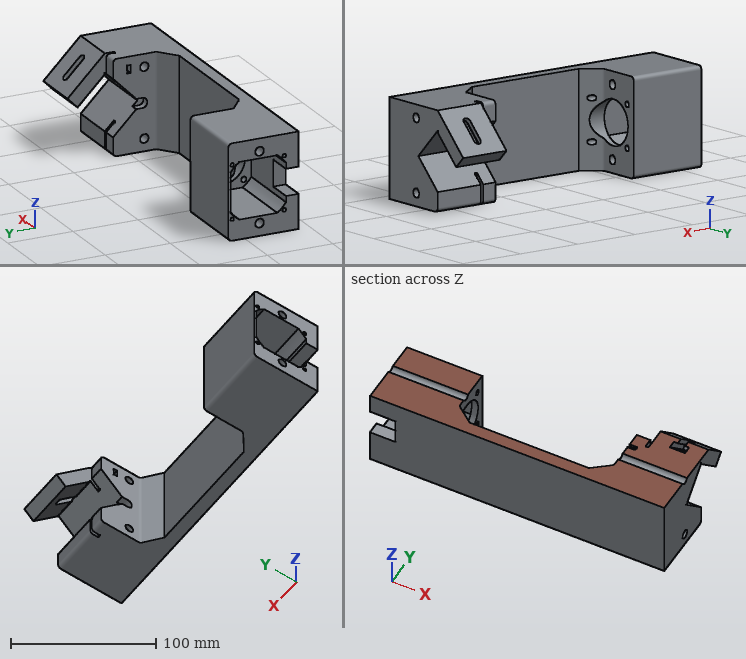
import cadquery as cq
import math

length = 230.0
depth = 54.0
height = 72.0
mid_z = height / 2
edge_radius = 3.0

recess_start = 59.0
recess_end = 179.5
beam_depth = 10.0
ramp_top = 20.8
ramp_run = 13.7
ramp_blend_radius = 3.0

motor_y = 31.0
motor_size = 42.5
motor_corner_diameter = 51.5
motor_plate = 5.0
motor_boss_diameter = 33.0
motor_screw_pitch = 31.0
motor_screw_diameter = 4.0
cover_screw_pitch = 40.0
cover_screw_diameter = 2.6
cover_screw_depth = 10.0
cable_slot_length = 20.0
cable_slot_height = 20.0

bolt_y = 30.0
bolt_spacing = 53.0
bolt_diameter = 6.5

groove_root_y = 32.4
relief_y = 31.5
relief_width = 7.6
relief_depth = 6.0

slit_start = 190.3
slit_width = 2.0
slit_bottom_y = 47.0

arm_start = slit_start + slit_width
arm_thickness = 11.0
overall_depth = 82.61
arm_reach = overall_depth - depth
arm_slot_width = 5.5
arm_slot_x = 211.2
arm_slot_near_y = 60.9
arm_slot_far_y = 76.2
arm_nut_gap = 4.0
arm_nut_gap_margin = 3.0

nut_y = 41.8
nut_z = 62.6
nut_thickness = 2.8
nut_width = 5.9
nut_pocket_depth = 6.0


def box(x_range, y_range, z_range):
    """Axis-aligned box between pairs of limits."""
    spans = [limits[1] - limits[0] for limits in (x_range, y_range, z_range)]
    corner = (x_range[0], y_range[0], z_range[0])
    return cq.Workplane("XY").box(*spans, centered=False).translate(corner)


def rod(diameter, y, z, x_start, x_end):
    """Cylinder along X."""
    plane = cq.Workplane("YZ", origin=(x_start, y, z))
    return plane.circle(diameter / 2).extrude(x_end - x_start)


def make_body():
    """Recessed beam with ramps blended into the block faces."""
    outline = [
        (0, 0),
        (length, 0),
        (length, depth),
        (recess_end, depth),
        (recess_end, ramp_top),
        (recess_end - ramp_run, beam_depth),
        (recess_start + ramp_run, beam_depth),
        (recess_start, ramp_top),
        (recess_start, depth),
        (0, depth),
    ]
    body = cq.Workplane("XY").polyline(outline).close().extrude(height)
    selection_margin = 1.0
    for x in (recess_start, recess_end):
        low_corner = (x - selection_margin, ramp_top - selection_margin, -selection_margin)
        high_corner = (x + selection_margin, ramp_top + selection_margin, height + selection_margin)
        ramp_edge = cq.selectors.BoxSelector(low_corner, high_corner)
        body = body.edges("|Z").edges(ramp_edge).fillet(ramp_blend_radius)
    return body


def round_outer_edge(body, x_start, x_end, top):
    """Round the top or bottom +Y edge over one stretch of X."""
    inner_y = depth - edge_radius
    if top:
        edge_z = height
        centre_z = height - edge_radius
    else:
        edge_z = 0
        centre_z = edge_radius
    z_range = sorted((edge_z, centre_z))
    corner = box((x_start, x_end), (inner_y, depth), z_range)
    return body.cut(corner.cut(rod(2 * edge_radius, inner_y, centre_z, x_start, x_end)))


def cut_motor_mount(body):
    """Motor pocket, boss bore, screw holes and the cable slot."""
    pocket_depth = recess_start - motor_plate
    pocket = cq.Workplane("YZ", origin=(0, motor_y, mid_z)).rect(motor_size, motor_size).extrude(pocket_depth)
    pocket = pocket.intersect(rod(motor_corner_diameter, motor_y, mid_z, 0, pocket_depth))
    body = body.cut(pocket)
    bore_end = recess_start + ramp_run
    body = body.cut(rod(motor_boss_diameter, motor_y, mid_z, 0, bore_end))
    for side_y in (-1, 1):
        for side_z in (-1, 1):
            screw_y = motor_y + side_y * motor_screw_pitch / 2
            screw_z = mid_z + side_z * motor_screw_pitch / 2
            body = body.cut(rod(motor_screw_diameter, screw_y, screw_z, 0, bore_end))
            cover_y = motor_y + side_y * cover_screw_pitch / 2
            cover_z = mid_z + side_z * cover_screw_pitch / 2
            body = body.cut(rod(cover_screw_diameter, cover_y, cover_z, 0, cover_screw_depth))
    half_slot = cable_slot_height / 2
    return body.cut(box((0, cable_slot_length), (0, motor_y), (mid_z - half_slot, mid_z + half_slot)))


def cut_bolt_holes(body):
    """Two through holes along X, above and below mid height."""
    for side in (-1, 1):
        body = body.cut(rod(bolt_diameter, bolt_y, mid_z + side * bolt_spacing / 2, 0, length))
    return body


def cut_clamp_block(body):
    """V groove with root relief, slit and captive nut pocket."""
    half_opening = depth - groove_root_y
    groove = [
        (groove_root_y, mid_z),
        (depth, mid_z + half_opening),
        (depth, mid_z - half_opening),
    ]
    body = body.cut(
        cq.Workplane("YZ", origin=(recess_end, 0, 0)).polyline(groove).close().extrude(length - recess_end)
    )

    relief_end = recess_end + relief_depth
    half_relief = relief_width / 2
    body = body.cut(rod(relief_width, relief_y, mid_z, recess_end, relief_end))
    relief_z = (mid_z - half_relief, mid_z + half_relief)
    body = body.cut(box((recess_end, relief_end), (relief_y, groove_root_y + half_relief), relief_z))

    body = body.cut(box((slit_start, arm_start), (slit_bottom_y, depth), (0, height)))

    nut_y_range = (nut_y - nut_thickness / 2, nut_y + nut_thickness / 2)
    nut_z_range = (nut_z - nut_width / 2, nut_z + nut_width / 2)
    return body.cut(box((recess_end, recess_end + nut_pocket_depth), nut_y_range, nut_z_range))


def make_arm():
    """Sloping arm with an adjustment slot crossed by a nut gap at mid thickness."""
    offset = arm_thickness / math.sqrt(2)
    section = [
        (depth, height),
        (depth + arm_reach, height - arm_reach),
        (depth + arm_reach - offset, height - arm_reach - offset),
        (depth, height - 2 * offset),
    ]
    arm = cq.Workplane("YZ", origin=(arm_start, 0, 0)).polyline(section).close().extrude(length - arm_start)

    slot_y = (arm_slot_near_y + arm_slot_far_y) / 2
    slot_z = height - (slot_y - depth)
    slot_length = (arm_slot_far_y - arm_slot_near_y) * math.sqrt(2)
    face = cq.Plane(origin=(arm_slot_x, slot_y, slot_z), xDir=(1, 0, 0), normal=(0, 1, 1))
    slot = cq.Workplane(face).slot2D(slot_length, arm_slot_width, 90).extrude(-arm_thickness)

    gap_top = -(arm_thickness - arm_nut_gap) / 2
    gap_width = arm_slot_width + 2 * arm_nut_gap_margin
    gap_length = slot_length + 2 * arm_nut_gap_margin
    nut_gap = cq.Workplane(face).workplane(offset=gap_top).rect(gap_width, gap_length).extrude(-arm_nut_gap)
    return arm.cut(slot).cut(nut_gap)


body = make_body()
body = round_outer_edge(body, 0, recess_start, top=True)
body = round_outer_edge(body, recess_end, slit_start, top=True)
body = round_outer_edge(body, 0, recess_start, top=False)
body = round_outer_edge(body, recess_end, length, top=False)
body = cut_motor_mount(body)
body = cut_bolt_holes(body)
body = cut_clamp_block(body)
result = body.union(make_arm())